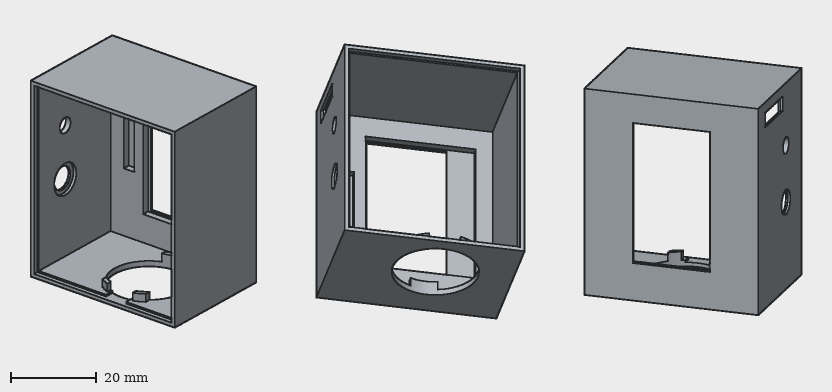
import cadquery as cq

width, depth, height = 43.0, 30.5, 51.0
wall = 1.5
rear_wall = 2.5

rim = 1.0
rebate_depth = 1.2

seat_left, seat_right = 11.2, 37.55
seat_bottom, seat_top = 8.85, 44.25
seat_depth = 1.85
window_left, window_right = 11.95, 31.0
window_edge = 0.4

pocket_left, pocket_right = 5.45, 8.5
pocket_bottom, pocket_top = 19.0, 34.1

slot_front, slot_rear = 13.45, 25.55
slot_bottom, slot_top = 44.85, 48.35
hole_y = 11.05
small_hole_z, small_hole_diameter = 35.55, 4.05
large_hole_z, large_hole_diameter = 21.5, 6.0

skin = 0.6
recess_margin = 1.1

ring_x, ring_y = 24.65, 13.4
ring_radius = 10.2
tab_thickness = 1.2
tab_top = 3.55
tab_split = 20.8
front_tabs = [(18.35, tab_split), (28.35, 31.1)]
rear_tab = (tab_split, 27.45)

channel_left, channel_right = 21.5, 27.5


def block(x_range, y_range, z_range):
    """Axis-aligned box between the given limits."""
    sizes = [high - low for low, high in (x_range, y_range, z_range)]
    corner = (x_range[0], y_range[0], z_range[0])
    return cq.Workplane("XY").box(*sizes, centered=False).translate(corner)


def retaining_tab(x_range, y_range):
    """Stretch of a ring around the floor opening, with ends parallel to Y."""
    ring = cq.Workplane("XY").center(ring_x, ring_y).circle(ring_radius + tab_thickness)
    ring = ring.circle(ring_radius).extrude(tab_top)
    return ring.intersect(block(x_range, y_range, (0, tab_top)))


def side_hole(z, diameter, start, end):
    """Round cut through the left wall between two X positions."""
    plane = cq.Workplane("YZ", origin=(start, hole_y, z))
    return plane.circle(diameter / 2).extrude(end - start)


inner_rear = depth - rear_wall
shell = block((0, width), (0, depth), (0, height))
shell = shell.cut(block((wall, width - wall), (0, inner_rear), (wall, height - wall)))
shell = shell.cut(block((rim, width - rim), (0, rebate_depth), (rim, height - rim)))

seat_floor = inner_rear + seat_depth
shell = shell.cut(block((seat_left, seat_right), (inner_rear, seat_floor), (seat_bottom, seat_top)))
window_heights = (seat_bottom + window_edge, seat_top - window_edge)
shell = shell.cut(block((window_left, window_right), (inner_rear, depth), window_heights))
pocket_heights = (pocket_bottom, pocket_top)
shell = shell.cut(block((pocket_left, pocket_right), (inner_rear, seat_floor), pocket_heights))

shell = shell.cut(block((0, wall), (slot_front, slot_rear), (slot_bottom, slot_top)))
recess_length = (slot_front - recess_margin, slot_rear + recess_margin)
recess_heights = (slot_bottom - recess_margin, slot_top + recess_margin)
shell = shell.cut(block((skin, wall), recess_length, recess_heights))
shell = shell.cut(side_hole(small_hole_z, small_hole_diameter, 0, wall))
shell = shell.cut(side_hole(large_hole_z, large_hole_diameter, 0, wall))
shell = shell.cut(side_hole(large_hole_z, large_hole_diameter + 2 * recess_margin, skin, wall))

shell = shell.cut(block((channel_left, channel_right), (rebate_depth, ring_y), (rim, wall)))
for x_range in front_tabs:
    shell = shell.union(retaining_tab(x_range, (0, ring_y)))
shell = shell.union(retaining_tab(rear_tab, (ring_y, depth)))
opening = cq.Workplane("XY").center(ring_x, ring_y).circle(ring_radius).extrude(wall)
result = shell.cut(opening)